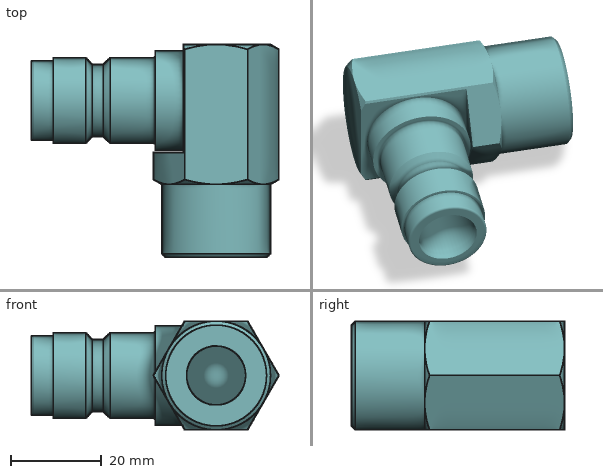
import cadquery as cq
import math


across_flats = 24.0
across_corners = across_flats / math.cos(math.radians(30))
overall_length_x = 54.7
overall_length_y = 47.0
body_back_y = 12.35
body_length = 30.85
body_front_y = body_back_y - body_length
corner_chamfer_angle = 30.0

boss_radius = across_flats / 2
boss_end_y = body_back_y - overall_length_y
boss_chamfer = 0.9

seat_x = -7.2
seat_length = 23.8

nipple_end_x = across_corners / 2 - overall_length_x
tip_radius = 8.8
tip_length = 4.85
tip_round = 0.45
barrel_radius = 9.45
groove_radius = 8.0
groove_start = 12.1
groove_floor_start = 13.45
groove_floor_end = 15.9
groove_end = 17.5
collar_fillet = 0.35
collar_start = 27.4
collar_radius = 11.0

bore_radius = 6.5


def cylinder_along_y(radius, front_y, back_y):
    """Solid cylinder on the Y axis between two Y positions."""
    return cq.Workplane("XZ", origin=(0, back_y, 0)).circle(radius).extrude(back_y - front_y)


def make_body():
    """Hexagonal prism with conically chamfered corners and the nipple seat."""
    hexagon = (
        cq.Workplane("XZ", origin=(0, body_back_y, 0))
        .polygon(6, across_corners)
        .extrude(body_length)
    )
    corner_radius = across_corners / 2
    chamfer_length = (corner_radius - boss_radius) * math.tan(math.radians(corner_chamfer_angle))
    envelope = (
        cq.Workplane("XY")
        .moveTo(0, body_front_y)
        .lineTo(boss_radius, body_front_y)
        .lineTo(corner_radius, body_front_y + chamfer_length)
        .lineTo(corner_radius, body_back_y - chamfer_length)
        .lineTo(boss_radius, body_back_y)
        .lineTo(0, body_back_y)
        .close()
        .revolve(360, (0, 0, 0), (0, 1, 0))
    )
    seat_cut = cq.Workplane("XY").box(
        across_corners, seat_length, across_corners, centered=(False, False, True)
    ).translate((seat_x - across_corners, body_back_y - seat_length, 0))
    return hexagon.intersect(envelope).cut(seat_cut)


def make_boss():
    """Round boss with a chamfered outer end."""
    boss = cylinder_along_y(boss_radius, boss_end_y, body_front_y)
    return boss.faces("<Y").chamfer(boss_chamfer)


def make_nipple():
    """Turned nipple with a stepped tip, a groove and a collar against the seat."""
    seat_station = seat_x - nipple_end_x
    return (
        cq.Workplane("XY", origin=(nipple_end_x, 0, 0))
        .moveTo(0, 0)
        .lineTo(0, tip_radius - tip_round)
        .radiusArc((tip_round, tip_radius), tip_round)
        .lineTo(tip_length, tip_radius)
        .lineTo(tip_length, barrel_radius)
        .lineTo(groove_start, barrel_radius)
        .lineTo(groove_floor_start, groove_radius)
        .lineTo(groove_floor_end, groove_radius)
        .lineTo(groove_end, barrel_radius)
        .lineTo(collar_start - collar_fillet, barrel_radius)
        .radiusArc((collar_start, barrel_radius + collar_fillet), -collar_fillet)
        .lineTo(collar_start, collar_radius)
        .lineTo(seat_station, collar_radius)
        .lineTo(seat_station, 0)
        .close()
        .revolve(360, (0, 0, 0), (1, 0, 0))
    )


def make_bores():
    """Boss bore ending level with the side of the nipple bore, which stops at its axis."""
    boss_bore = cylinder_along_y(bore_radius, boss_end_y, bore_radius)
    nipple_bore = (
        cq.Workplane("YZ", origin=(nipple_end_x, 0, 0)).circle(bore_radius).extrude(-nipple_end_x)
    )
    return boss_bore.union(nipple_bore)


result = make_body().union(make_boss()).union(make_nipple()).cut(make_bores())